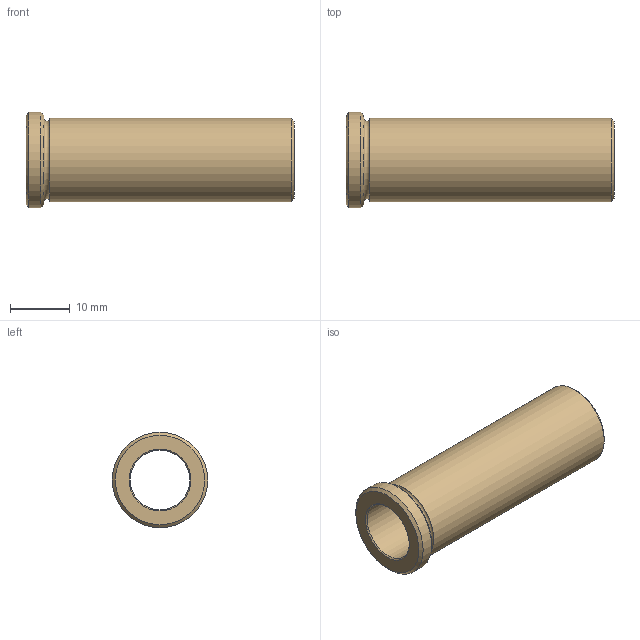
import cadquery as cq

total_length = 45.0
bore_radius = 10.0 / 2
body_radius = 14.0 / 2
collar_radius = 16.0 / 2

collar_length = 3.0
edge_chamfer = 0.5
bore_chamfer = 0.2
groove_radius = 0.5


def sleeve_blank():
    """Collared sleeve along +X with the collar face at X = 0."""
    collar = cq.Workplane("YZ").circle(collar_radius).extrude(collar_length)
    collar = collar.edges().chamfer(edge_chamfer)
    body = cq.Workplane("YZ").circle(body_radius).extrude(total_length)
    body = body.faces(">X").edges().chamfer(edge_chamfer)
    return collar.union(body)


def relief_groove():
    """Ring of semicircular section cut into the body right behind the collar."""
    groove_end = collar_length + 2 * groove_radius
    return (
        cq.Workplane("XY")
        .moveTo(collar_length, body_radius)
        .threePointArc(
            (collar_length + groove_radius, body_radius - groove_radius),
            (groove_end, body_radius),
        )
        .close()
        .revolve(360, (0, 0, 0), (1, 0, 0))
    )


def through_bore():
    """Full-length bore, chamfered where it opens through the collar face."""
    bore = cq.Workplane("YZ").circle(bore_radius).extrude(total_length)
    mouth = (
        cq.Workplane("YZ")
        .circle(bore_radius + bore_chamfer)
        .workplane(offset=bore_chamfer)
        .circle(bore_radius)
        .loft(ruled=True)
    )
    return bore.union(mouth)


result = sleeve_blank().cut(relief_groove()).cut(through_bore())